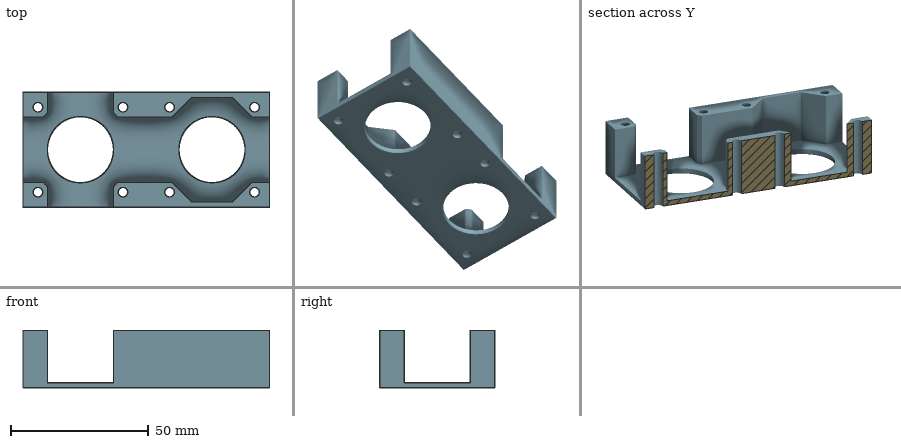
import cadquery as cq

length = 90.0
width = 42.0
height = 21.0
floor_thickness = 2.0
bottom_chamfer = 0.2

seat_size = width
opening_diameter = 24.0
screw_pitch = 31.0
screw_diameter = 3.4
seat_centers_x = (seat_size / 2, length - seat_size / 2)
center_y = width / 2

wall_thickness = (width - opening_diameter) / 2
post_length = wall_thickness
wall_start_x = seat_size - wall_thickness
corner_chamfer = 1.5

relief_wall = 2.0
relief_depth = wall_thickness - relief_wall
relief_inner_half = 7.5
relief_outer_half = relief_inner_half + relief_depth


def make_floor():
    """Plate with the seat openings; every edge of its underside is chamfered."""
    floor = cq.Workplane("XY").box(length, width, floor_thickness, centered=False)
    for seat_x in seat_centers_x:
        opening = cq.Workplane("XY").center(seat_x, center_y)
        floor = floor.cut(opening.circle(opening_diameter / 2).extrude(floor_thickness))
    return floor.faces("<Z").edges().chamfer(bottom_chamfer)


def extrude_wall(outline):
    """Extrude a wall outline from the top of the floor to the full height."""
    base = cq.Workplane("XY").workplane(offset=floor_thickness)
    return base.polyline(outline).close().extrude(height - floor_thickness)


def make_post():
    """Corner post at the low-X end of one side."""
    return extrude_wall([
        (0, 0),
        (post_length, 0),
        (post_length, wall_thickness - corner_chamfer),
        (post_length - corner_chamfer, wall_thickness),
        (0, wall_thickness),
    ])


def make_long_wall():
    """Long wall of one side, relieved beside the second opening."""
    relief_x = seat_centers_x[1]
    return extrude_wall([
        (wall_start_x, 0),
        (length, 0),
        (length, wall_thickness),
        (relief_x + relief_outer_half, wall_thickness),
        (relief_x + relief_inner_half, relief_wall),
        (relief_x - relief_inner_half, relief_wall),
        (relief_x - relief_outer_half, wall_thickness),
        (wall_start_x + corner_chamfer, wall_thickness),
        (wall_start_x, wall_thickness - corner_chamfer),
    ])


def make_screw_holes(seat_x):
    """Four full-height screw holes around one seat center."""
    seat = cq.Workplane("XY").center(seat_x, center_y)
    corners = seat.rect(screw_pitch, screw_pitch, forConstruction=True).vertices()
    return corners.circle(screw_diameter / 2).extrude(height)


body = make_floor()
for wall in (make_post(), make_long_wall()):
    body = body.union(wall)
    body = body.union(wall.mirror("XZ", (0, center_y, 0)))

for seat_x in seat_centers_x:
    body = body.cut(make_screw_holes(seat_x))

result = body